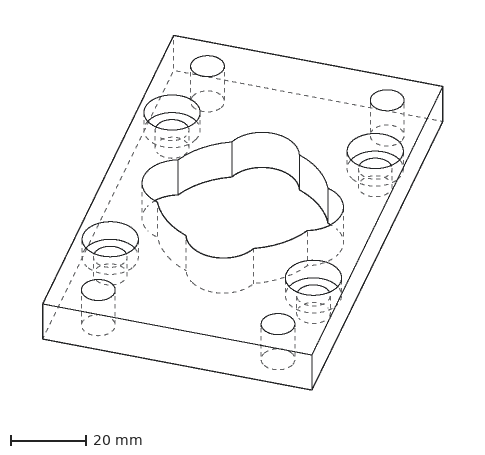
import cadquery as cq
import math

width = 75.0
length = 120.0
thickness = 12.0

hole_diameter = 9.0
corner_spacing_x = 50.0
corner_spacing_y = 100.0
bolt_circle_diameter = 80.0
counterbore_diameter = 15.0
counterbore_depth = 6.0

bore_radius = 22.9
lobe_radius = 10.0
opening_reach = 27.6
lobe_offset = opening_reach - lobe_radius


def opening_cutter():
    """Through cutter for the lobed central opening."""
    lobe_centers = [(lobe_offset, 0), (-lobe_offset, 0), (0, lobe_offset), (0, -lobe_offset)]
    bore = cq.Workplane("XY").circle(bore_radius).extrude(thickness)
    lobes = cq.Workplane("XY").pushPoints(lobe_centers).circle(lobe_radius).extrude(thickness)
    return bore.union(lobes)


plate = cq.Workplane("XY").box(width, length, thickness, centered=(True, True, False))

plate = (
    plate.faces(">Z").workplane(origin=(0, 0, thickness))
    .rarray(corner_spacing_x, corner_spacing_y, 2, 2)
    .hole(hole_diameter)
)

bolt_spacing = bolt_circle_diameter / math.sqrt(2)
plate = (
    plate.faces(">Z").workplane(origin=(0, 0, thickness))
    .rarray(bolt_spacing, bolt_spacing, 2, 2)
    .cboreHole(hole_diameter, counterbore_diameter, counterbore_depth)
)

result = plate.cut(opening_cutter())